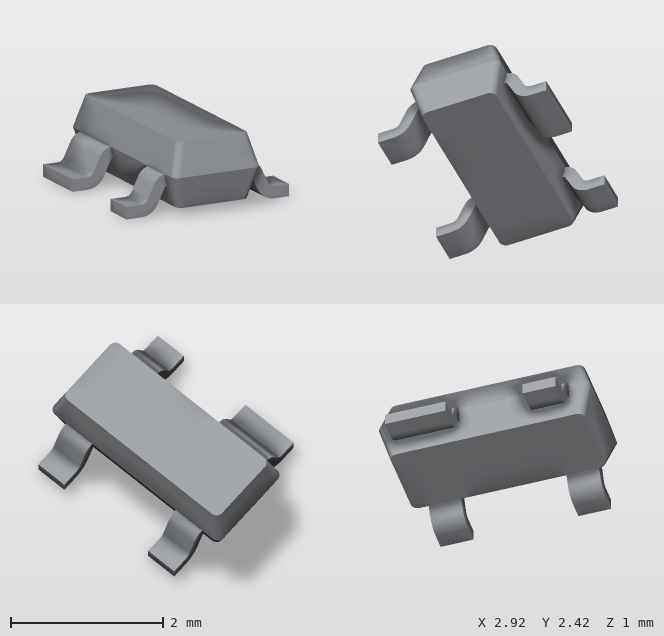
import cadquery as cq
import math

body_length = 2.92
body_width = 1.295
body_bottom = 0.10
body_top = 1.00
parting_height = 0.55
draft_angle = 15
corner_radius = 0.10

lead_thickness = 0.17
lead_span = 2.415
foot_length = 0.22
bend_angle = math.radians(64)
upper_inner_radius = 0.045
lower_inner_radius = 0.10
upper_outer_radius = upper_inner_radius + lead_thickness
lower_outer_radius = lower_inner_radius + lead_thickness
lead_root = 0.40

lead_outer_edge = 1.175
narrow_lead_width = 0.45
wide_lead_width = 0.835


def body_half(height):
    """Drafted block standing on the parting plane, with rounded slanted corners."""
    half = cq.Workplane("XY").rect(body_length, body_width).extrude(height, taper=draft_angle)
    return half.edges("not(#Z)").fillet(corner_radius)


def make_body():
    upper = body_half(body_top - parting_height)
    lower = body_half(parting_height - body_bottom).mirror("XY")
    return upper.union(lower).translate((0, 0, parting_height))


def point_on_arc(center, radius, angle):
    """Point at an angle measured from +Z towards +Y."""
    return (center[0] + radius * math.sin(angle), center[1] + radius * math.cos(angle))


def lead_profile():
    """YZ outline of a lead leaving the +Y side of the body and ending in a flat foot."""
    foot_end = lead_span / 2
    lead_top = parting_height

    lower_center = (foot_end - foot_length, lead_thickness + lower_inner_radius)

    upper_center_z = lead_top - upper_outer_radius
    radius_sum = upper_outer_radius + lower_inner_radius
    center_drop = upper_center_z - lower_center[1]
    leg_length = (center_drop + radius_sum * math.cos(bend_angle)) / math.sin(bend_angle)
    center_run = radius_sum * math.sin(bend_angle) + leg_length * math.cos(bend_angle)
    upper_center = (lower_center[0] - center_run, upper_center_z)

    def upper(radius, angle):
        return point_on_arc(upper_center, radius, angle)

    def lower(radius, angle):
        return point_on_arc(lower_center, radius, math.pi + angle)

    half_bend = bend_angle / 2
    return (
        cq.Workplane("YZ")
        .moveTo(lead_root, lead_top)
        .lineTo(*upper(upper_outer_radius, 0))
        .threePointArc(upper(upper_outer_radius, half_bend), upper(upper_outer_radius, bend_angle))
        .lineTo(*lower(lower_inner_radius, bend_angle))
        .threePointArc(lower(lower_inner_radius, half_bend), lower(lower_inner_radius, 0))
        .lineTo(foot_end, lead_thickness)
        .lineTo(foot_end, 0)
        .lineTo(*lower(lower_outer_radius, 0))
        .threePointArc(lower(lower_outer_radius, half_bend), lower(lower_outer_radius, bend_angle))
        .lineTo(*upper(upper_inner_radius, bend_angle))
        .threePointArc(upper(upper_inner_radius, half_bend), upper(upper_inner_radius, 0))
        .lineTo(lead_root, lead_top - lead_thickness)
        .close()
    )


def make_lead(x_start, width, front):
    """Lead spanning x_start to x_start + width, on the -Y side when front is true."""
    lead = lead_profile().extrude(width).translate((x_start, 0, 0))
    return lead.mirror("XZ") if front else lead


right_lead_start = lead_outer_edge - narrow_lead_width

result = make_body()
for front, left_width in ((True, wide_lead_width), (False, narrow_lead_width)):
    result = result.union(make_lead(-lead_outer_edge, left_width, front))
    result = result.union(make_lead(right_lead_start, narrow_lead_width, front))